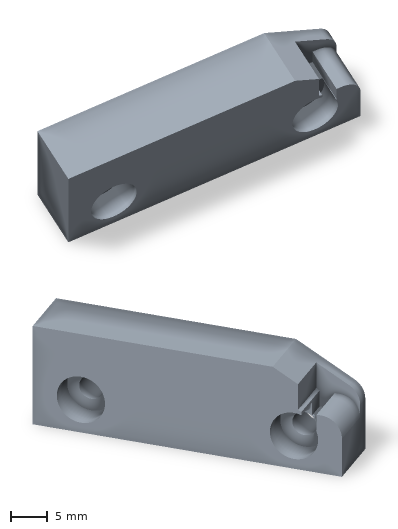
import cadquery as cq
import math

length = 45.0
width = 9.0
height = 15.0

slope_run = 10.1
slope_angle = math.radians(28.5)
nose_radius = 3.0
slope_rise = slope_run * math.tan(slope_angle)

hole_diameter = 3.5
counterbore_diameter = 7.0
counterbore_floor = 5.0
hole_height = 5.0
hole_from_nose = 6.98
hole_spacing = 31.0

web_thickness = 2.0
notch_length = 6.4
slope_at_nose = height - slope_rise
lip_height = 8.8
lip_center_height = lip_height - nose_radius
slot_start = 3.7
slot_end = 5.9
slot_floor = 6.4


def extrude_side_profile(points, start_x):
    """Extrude a closed YZ outline from start_x to the +X face."""
    outline = cq.Workplane("YZ", origin=(start_x, 0, 0)).polyline(points).close()
    return outline.extrude(width - start_x)


def make_block():
    block = extrude_side_profile(
        [
            (0, 0),
            (length, 0),
            (length, slope_at_nose),
            (length - slope_run, height),
            (0, height),
        ],
        0,
    )
    nose_edge = cq.selectors.NearestToPointSelector((width / 2, length, slope_at_nose))
    return block.edges(nose_edge).fillet(nose_radius)


def cut_notch(block):
    """Lower the nose to a rounded lip, then sink the slot behind it."""
    chamfer_rise = (notch_length - slot_end) * math.tan(slope_angle)
    notch = extrude_side_profile(
        [
            (length - nose_radius, lip_height),
            (length - slot_start, lip_height),
            (length - slot_start, slot_floor),
            (length - slot_end, slot_floor),
            (length - slot_end, lip_height),
            (length - notch_length, lip_height + chamfer_rise),
            (length - notch_length, height),
            (length - nose_radius, height),
        ],
        web_thickness,
    )
    nose_waste = extrude_side_profile(
        [
            (length - nose_radius, lip_center_height),
            (length, lip_center_height),
            (length, height),
            (length - nose_radius, height),
        ],
        web_thickness,
    )
    lip_round = (
        cq.Workplane("YZ", origin=(web_thickness, length - nose_radius, lip_center_height))
        .circle(nose_radius)
        .extrude(width - web_thickness)
    )
    return block.cut(notch).cut(nose_waste.cut(lip_round))


def cut_screw_holes(block):
    for from_nose in (hole_from_nose, hole_from_nose + hole_spacing):
        center_y = length - from_nose
        hole = cq.Workplane("YZ", origin=(0, center_y, hole_height)).circle(hole_diameter / 2)
        bore = cq.Workplane("YZ", origin=(counterbore_floor, center_y, hole_height)).circle(
            counterbore_diameter / 2
        )
        block = block.cut(hole.extrude(width)).cut(bore.extrude(width - counterbore_floor))
    return block


result = cut_screw_holes(cut_notch(make_block()))